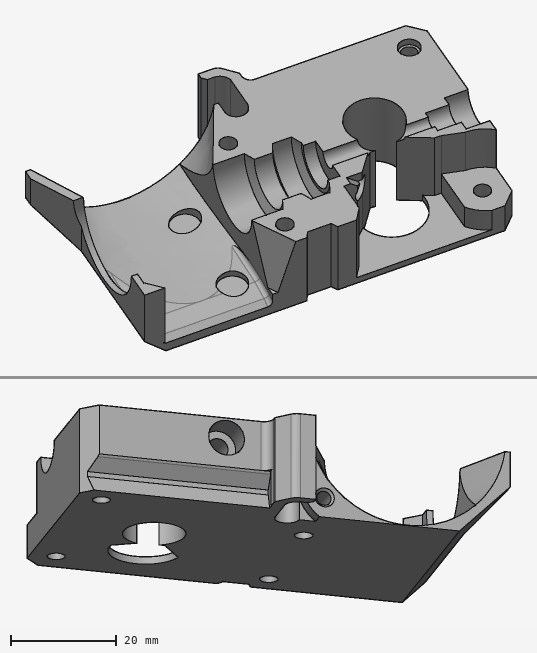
import cadquery as cq
import math


HEIGHT = 17.0
X_LEFT = -25.0
X_RIGHT = 17.0
X_TRAY = -22.4
Y_BACK = 52.0
Y_FRONT = -27.0
Y_SCOOP = -32.5
SCOOP_INNER_X = -9.8
SCOOP_OUTER_X = -20.2
BACK_CHAMFER = 3.0
CLEARANCE = 1.0

X_HOOK = -31.0
SLOT_WIDTH = 4.8
SLOT_Y = 10.6
SLOT_END_X = -19.8
SLOT_TOP = SLOT_Y + SLOT_WIDTH / 2
SLOT_BOTTOM = SLOT_Y - SLOT_WIDTH / 2
HOOK_BACK_Y = 15.3
HOOK_FILLET = 1.9
HOOK_WALL = 2.1
HOOK_BEND = (-30.3, 12.9)
HOOK_BEND_START_Y = 11.25
HOOK_BACK_X = -27.7
HOOK_INNER_BEND = (-28.4, 12.0)
HOOK_INNER_BEND_X = -26.9
HOOK_INNER_BEND_Y = 10.7
HOOK_TIP_CHAMFER = 0.9

GROOVE_MOUTH_Z = 7.1
GROOVE_LIP = (-24.8, 6.6)
GROOVE_FLOOR_X = -23.2
GROOVE_FLOOR_Z = (3.0, 4.0)
GROOVE_FOOT_X = -24.2

RELIEF_HEIGHT = 4.4
RELIEF_DEPTH = 3.2
RELIEF_ARC_MID = (7.2, 2.3)

NOTCH_DEPTH = 1.3
NOTCH_BOTTOM = 8.0
NOTCH_TOP = 13.0
NOTCH_FLARE = 0.75

FITTING_R = 4.6
FITTING_Y = 47.0
COLLAR_R = 2.6
COLLAR_Y = 42.0
FILAMENT_R = 1.4
TUBE_R = 2.0
TUBE_SPLIT_Y = 32.0
TUBE_FRONT_Y = 20.1
MOUNT_NECK_R = 5.15
MOUNT_R = 8.2
HOTEND_GROOVE_R = 6.0
MOUNT_CONE = 1.0
MOUNT_BACK_Y = 17.5
HOTEND_GROOVE_BACK_Y = 11.5
HOTEND_GROOVE_FRONT_Y = 7.6

GEAR_CENTER = (-5.1, 32.5)
GEAR_R = 6.0
IDLER_CENTER = (3.95, 31.6)
IDLER_R = 7.1
LEVER_FLOOR_Z = 1.5
LEVER_TOP_X = 7.4
LEVER_ARC_MID = (5.75, 49.2)
LEVER_ARC_END = (5.3, 46.5)
LEVER_EDGE = [
    (4.1, 42.0),
    (4.05, 40.6),
    (0.6, 34.2),
    (0.3, 28.9),
    (5.9, 24.5),
    (7.9, 22.4),
    (7.9, 19.6),
    (14.3, 19.6),
    (X_RIGHT, 17.7),
]
BOSS_Z = 6.7
BOSS_FRONT_Y = 42.0
BOSS_CORNER_X = 13.9
BOSS_ARC_MID = (15.7, 43.8)
BOSS_SIDE_Y = 46.3
LEDGE_X = (6.1, 7.9)
LEDGE_Y = (21.0, 24.5)
LEDGE_DEPTH = 3.0

MOTOR_HOLE_X = (-19.5, 11.5)
MOTOR_HOLE_Y = 47.0
MOTOR_HOLE_D = 3.4
MOTOR_SINK_D = 4.5
MOTOR_SINK_DEPTH = 1.5
CLAMP_HOLE_X = 12.0
CLAMP_HOLE_Y = 5.1
CLAMP_HOLE_D = 3.5
TENSION_Y = 24.0
TENSION_Z = 13.0
TENSION_D = 4.0
TENSION_HEAD_D = 7.0
TENSION_HEAD_DEPTH = 6.0
FAN_SCREW_Y = 4.0
FAN_SCREW_Z = 4.0
FAN_SCREW_D = 2.8
FAN_SCREW_MOUTH_D = 3.8
FAN_SCREW_DEPTH = 8.0

DUCT_BACK_Y = 0.0
DUCT_FRONT_Y = -25.7
DUCT_CORNER = 3.0
FAN_CENTER_Y = -12.1
FAN_R = 19.5
FAN_FLOOR_Z = 0.1
OUTLET_R = 45.0
RIDGE_X = 11.5
RIDGE_Z = 3.8
RAMP_START = (-7.0, 5.0)
LIP_X = 15.4
LIP_Z = 2.9
EDGE_Z = 2.1
DUCT_FILLET = 1.0
FLARE_END_X = -8.5
FLARE_END_RY = 12.4
FLARE_END_RZ = 16.0
FRONT_CHAMFER = 10.0
SIDE_FLARE_TOP_X = 8.4
SIDE_FLARE_WIDTH = 4.9
SIDE_FLARE_LOW_X = 15.0
SIDE_FLARE_LOW_Z = 5.0
WINDOW_R = 11.4
MAGNET_D = 6.2
MAGNET_X = 10.0
MAGNET_Y = -5.0
MAGNET_FLOOR_Z = {-1: 1.2, 1: 2.7}


def upright(x, y, diameter, z_bottom, z_top):
    bore = cq.Workplane("XY", origin=(x, y, z_bottom)).circle(diameter / 2)
    return bore.extrude(z_top - z_bottom)


def through_hole(x, y, diameter):
    return upright(x, y, diameter, -CLEARANCE, HEIGHT + CLEARANCE)


def make_body():
    slot_r = SLOT_WIDTH / 2
    notch_x = X_RIGHT - NOTCH_DEPTH
    inner_x = X_HOOK + HOOK_WALL
    fillet_x = X_LEFT - HOOK_FILLET
    fillet_reach = HOOK_FILLET * math.sqrt(0.5)
    outline = (
        cq.Workplane("XY")
        .moveTo(X_LEFT + BACK_CHAMFER, Y_BACK)
        .lineTo(X_RIGHT - BACK_CHAMFER, Y_BACK)
        .lineTo(X_RIGHT, Y_BACK - BACK_CHAMFER)
        .lineTo(X_RIGHT, NOTCH_TOP + NOTCH_FLARE)
        .lineTo(notch_x, NOTCH_TOP)
        .lineTo(notch_x, NOTCH_BOTTOM)
        .lineTo(X_RIGHT, NOTCH_BOTTOM - NOTCH_FLARE)
        .lineTo(X_RIGHT, Y_FRONT)
        .lineTo(SCOOP_INNER_X, Y_FRONT)
        .lineTo(SCOOP_OUTER_X, Y_SCOOP)
        .lineTo(X_TRAY, Y_SCOOP)
        .lineTo(X_TRAY, SLOT_BOTTOM)
        .lineTo(SLOT_END_X, SLOT_BOTTOM)
        .threePointArc((SLOT_END_X + slot_r, SLOT_Y), (SLOT_END_X, SLOT_TOP))
        .lineTo(HOOK_INNER_BEND_X, SLOT_TOP)
        .threePointArc(HOOK_INNER_BEND, (inner_x, HOOK_INNER_BEND_Y))
        .lineTo(inner_x, SLOT_BOTTOM + HOOK_TIP_CHAMFER)
        .lineTo(inner_x - HOOK_TIP_CHAMFER, SLOT_BOTTOM)
        .lineTo(X_HOOK, SLOT_BOTTOM)
        .lineTo(X_HOOK, HOOK_BEND_START_Y)
        .tangentArcPoint(HOOK_BEND, relative=False)
        .lineTo(HOOK_BACK_X, HOOK_BACK_Y)
        .lineTo(fillet_x, HOOK_BACK_Y)
        .threePointArc(
            (fillet_x + fillet_reach, HOOK_BACK_Y + HOOK_FILLET - fillet_reach),
            (X_LEFT, HOOK_BACK_Y + HOOK_FILLET),
        )
        .lineTo(X_LEFT, Y_BACK - BACK_CHAMFER)
        .close()
    )
    return outline.extrude(HEIGHT)


def make_filament_path():
    profile = [
        (0, Y_BACK + CLEARANCE),
        (FITTING_R, Y_BACK + CLEARANCE),
        (FITTING_R, FITTING_Y),
        (COLLAR_R, FITTING_Y),
        (COLLAR_R, COLLAR_Y),
        (FILAMENT_R, COLLAR_Y),
        (FILAMENT_R, TUBE_SPLIT_Y),
        (TUBE_R, TUBE_SPLIT_Y),
        (TUBE_R, TUBE_FRONT_Y),
        (MOUNT_NECK_R, TUBE_FRONT_Y),
        (MOUNT_NECK_R, MOUNT_BACK_Y),
        (HOTEND_GROOVE_R, MOUNT_BACK_Y),
        (MOUNT_R, MOUNT_BACK_Y - MOUNT_CONE),
        (MOUNT_R, HOTEND_GROOVE_BACK_Y + MOUNT_CONE),
        (HOTEND_GROOVE_R, HOTEND_GROOVE_BACK_Y),
        (HOTEND_GROOVE_R, HOTEND_GROOVE_FRONT_Y),
        (MOUNT_R, HOTEND_GROOVE_FRONT_Y - MOUNT_CONE),
        (MOUNT_R, -CLEARANCE),
        (0, -CLEARANCE),
    ]
    path = cq.Workplane("XY").polyline(profile).close()
    return path.revolve(360, (0, 0, 0), (0, 1, 0)).translate((0, 0, HEIGHT))


def lever_region(z_bottom):
    """Plan shape of the idler lever pocket, from z_bottom up through the top."""
    x_out = X_RIGHT + CLEARANCE
    y_out = Y_BACK + CLEARANCE
    region = (
        cq.Workplane("XY", origin=(0, 0, z_bottom))
        .moveTo(LEVER_TOP_X, y_out)
        .lineTo(LEVER_TOP_X, Y_BACK)
        .threePointArc(LEVER_ARC_MID, LEVER_ARC_END)
    )
    for point in LEVER_EDGE:
        region = region.lineTo(*point)
    region = region.lineTo(x_out, LEVER_EDGE[-1][1]).lineTo(x_out, y_out).close()
    return region.extrude(HEIGHT + CLEARANCE - z_bottom)


def make_boss():
    """Raised pad kept on the lever pocket floor."""
    boss = (
        cq.Workplane("XY")
        .moveTo(0, BOSS_FRONT_Y)
        .lineTo(BOSS_CORNER_X, BOSS_FRONT_Y)
        .threePointArc(BOSS_ARC_MID, (X_RIGHT, BOSS_SIDE_Y))
        .lineTo(X_RIGHT + CLEARANCE, BOSS_SIDE_Y)
        .lineTo(X_RIGHT + CLEARANCE, Y_BACK + CLEARANCE)
        .lineTo(0, Y_BACK + CLEARANCE)
        .close()
    )
    return boss.extrude(BOSS_Z)


def make_drive_openings():
    pocket = lever_region(LEVER_FLOOR_Z).cut(make_boss())
    idler = through_hole(*IDLER_CENTER, 2 * IDLER_R).intersect(lever_region(-CLEARANCE))
    gear = through_hole(*GEAR_CENTER, 2 * GEAR_R)
    ledge_section = [
        (LEDGE_Y[0], HEIGHT),
        (LEDGE_Y[1], HEIGHT),
        (LEDGE_Y[1], HEIGHT - LEDGE_DEPTH),
    ]
    ledge = cq.Workplane("YZ", origin=(LEDGE_X[0], 0, 0)).polyline(ledge_section).close()
    ledge = ledge.extrude(LEDGE_X[1] - LEDGE_X[0])
    return pocket.union(idler).union(gear).union(ledge)


def make_screw_holes():
    left_x, right_x = MOTOR_HOLE_X
    holes = through_hole(left_x, MOTOR_HOLE_Y, MOTOR_HOLE_D)
    holes = holes.union(through_hole(right_x, MOTOR_HOLE_Y, MOTOR_HOLE_D))
    sink_z = HEIGHT - MOTOR_SINK_DEPTH
    holes = holes.union(upright(left_x, MOTOR_HOLE_Y, MOTOR_SINK_D, sink_z, HEIGHT + CLEARANCE))
    for side in (-1, 1):
        holes = holes.union(through_hole(side * CLAMP_HOLE_X, CLAMP_HOLE_Y, CLAMP_HOLE_D))
    return holes


def make_tension_hole():
    start = cq.Workplane("YZ", origin=(X_LEFT, TENSION_Y, TENSION_Z))
    shank = start.circle(TENSION_D / 2).extrude(X_RIGHT - X_LEFT)
    head = start.circle(TENSION_HEAD_D / 2).extrude(TENSION_HEAD_DEPTH)
    return shank.union(head)


def make_fan_screw_hole():
    depth = FAN_SCREW_DEPTH
    mouth_r = FAN_SCREW_MOUTH_D / 2
    hole_r = FAN_SCREW_D / 2
    sink = mouth_r - hole_r
    profile = [(0, 0), (0, mouth_r), (sink, hole_r), (depth, hole_r), (depth, 0)]
    hole = cq.Workplane("XY").polyline(profile).close().revolve(360, (0, 0, 0), (1, 0, 0))
    return hole.translate((X_TRAY, FAN_SCREW_Y, FAN_SCREW_Z))


def make_side_groove():
    """V groove along the lower left side, ending at the hook."""
    section = [
        (X_LEFT - CLEARANCE, GROOVE_MOUTH_Z),
        (X_LEFT, GROOVE_MOUTH_Z),
        GROOVE_LIP,
        (GROOVE_FLOOR_X, GROOVE_FLOOR_Z[1]),
        (GROOVE_FLOOR_X, GROOVE_FLOOR_Z[0]),
        (GROOVE_FOOT_X, 0),
        (X_LEFT - CLEARANCE, 0),
    ]
    groove = cq.Workplane("XZ", origin=(0, Y_BACK, 0)).polyline(section).close()
    return groove.extrude(Y_BACK - HOOK_BACK_Y)


def make_slot_underside_relief():
    """Rounded relief on the lower edge between the slot face and the underside."""
    relief = (
        cq.Workplane("YZ", origin=(X_TRAY, 0, 0))
        .moveTo(SLOT_BOTTOM, 0)
        .lineTo(SLOT_BOTTOM, RELIEF_HEIGHT)
        .threePointArc(RELIEF_ARC_MID, (SLOT_BOTTOM - RELIEF_DEPTH, 0))
        .close()
    )
    return relief.extrude(SLOT_END_X - X_TRAY)


def make_duct():
    """Air duct: round fan mouth narrowing to a walled channel with a sloping floor."""
    fan_plane = cq.Workplane("YZ", origin=(X_TRAY, FAN_CENTER_Y, FAN_FLOOR_Z + FAN_R))
    outlet_rise = RIDGE_Z + OUTLET_R - FAN_FLOOR_Z - FAN_R
    floor = (
        fan_plane.circle(FAN_R)
        .workplane(offset=RIDGE_X - X_TRAY)
        .center(0, outlet_rise)
        .circle(OUTLET_R)
        .loft(ruled=True)
    )
    ramp_section = [
        RAMP_START,
        (RIDGE_X, RIDGE_Z),
        (LIP_X, LIP_Z),
        (X_RIGHT, EDGE_Z),
        (X_RIGHT, HEIGHT + CLEARANCE),
        (RAMP_START[0], HEIGHT + CLEARANCE),
    ]
    ramp = cq.Workplane("XZ").polyline(ramp_section).close().extrude(-DUCT_FRONT_Y)
    channel_plan = [
        (X_TRAY, DUCT_BACK_Y),
        (X_RIGHT, DUCT_BACK_Y),
        (X_RIGHT, DUCT_FRONT_Y + DUCT_CORNER),
        (X_RIGHT - DUCT_CORNER, DUCT_FRONT_Y),
        (X_TRAY, DUCT_FRONT_Y),
    ]
    channel = cq.Workplane("XY").polyline(channel_plan).close().extrude(HEIGHT + CLEARANCE)
    flare = (
        fan_plane.ellipse(FAN_R, FAN_R)
        .workplane(offset=FLARE_END_X - X_TRAY)
        .ellipse(FLARE_END_RY, FLARE_END_RZ)
        .loft(ruled=True)
    )
    outlet = ramp.intersect(channel)
    wall_feet = outlet.faces("<Y or >Y").edges("not |Z").edges(
        cq.selectors.BoxSelector(
            (RAMP_START[0], DUCT_FRONT_Y - CLEARANCE, 0),
            (X_RIGHT + CLEARANCE, DUCT_BACK_Y + CLEARANCE, HEIGHT / 2),
        )
    )
    outlet = wall_feet.fillet(DUCT_FILLET)
    return floor.intersect(channel).union(outlet).union(flare)


def make_outlet_flare():
    """Tapered cut that widens the front wall of the block towards the right side."""
    slope = SIDE_FLARE_WIDTH / (X_RIGHT - SIDE_FLARE_TOP_X)

    def triangle(start):
        reach = X_RIGHT - start
        return [(start, 0), (X_RIGHT, 0), (X_RIGHT, slope * reach)]

    return (
        cq.Workplane("XY", origin=(0, 0, SIDE_FLARE_LOW_Z))
        .polyline(triangle(SIDE_FLARE_LOW_X))
        .close()
        .workplane(offset=HEIGHT - SIDE_FLARE_LOW_Z)
        .polyline(triangle(SIDE_FLARE_TOP_X))
        .close()
        .loft(ruled=True)
    )


def make_nozzle_window():
    """Round opening in the front wall, in line with the filament path."""
    plane = cq.Workplane("XZ", origin=(0, DUCT_FRONT_Y + CLEARANCE, HEIGHT))
    return plane.circle(WINDOW_R).extrude(DUCT_FRONT_Y + CLEARANCE - Y_SCOOP)


def make_front_chamfer():
    section = [(Y_SCOOP, 0), (Y_SCOOP, FRONT_CHAMFER), (Y_SCOOP + FRONT_CHAMFER, 0)]
    wedge = cq.Workplane("YZ", origin=(X_TRAY, 0, 0)).polyline(section).close()
    return wedge.extrude(X_RIGHT - X_TRAY)


def make_magnet_pockets():
    pockets = cq.Workplane("XY")
    for side, floor_z in MAGNET_FLOOR_Z.items():
        pockets = pockets.union(upright(side * MAGNET_X, MAGNET_Y, MAGNET_D, floor_z, HEIGHT))
    return pockets


result = make_body()
for cutter in (
    make_filament_path(),
    make_drive_openings(),
    make_screw_holes(),
    make_tension_hole(),
    make_fan_screw_hole(),
    make_side_groove(),
    make_slot_underside_relief(),
    make_duct(),
    make_outlet_flare(),
    make_nozzle_window(),
    make_front_chamfer(),
    make_magnet_pockets(),
):
    result = result.cut(cutter)